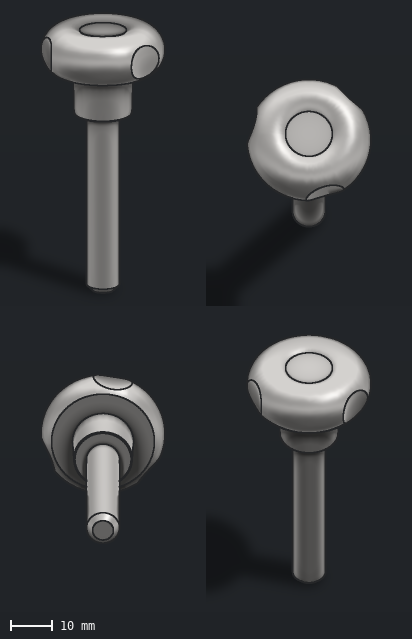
import cadquery as cq
import math

total_height = 67.0

head_radius = 15.0
head_height = 11.0
rim_radius = 6.0
dish_depth = 1.0

scallop_count = 3
scallop_radius = 15.0
scallop_depth = 1.55
first_scallop_angle = -90.0

collar_height = 11.1
collar_top_radius = 7.4
collar_bottom_radius = 7.05
collar_chamfer = 0.3

pin_diameter = 8.0
pin_tip_chamfer = 1.5

head_bottom = total_height - head_height
collar_bottom = head_bottom - collar_height
rim_center_radius = head_radius - rim_radius
rim_center_height = total_height - rim_radius
dish_floor = total_height - dish_depth


def rim_half_width(height):
    """Horizontal half width of the round rim section at a given height."""
    return math.sqrt(rim_radius**2 - (height - rim_center_height) ** 2)


def make_head():
    """Revolve the rim section, with a flat underside and a shallow dish on top."""
    dish_radius = rim_center_radius - rim_half_width(dish_floor)
    base_radius = rim_center_radius + rim_half_width(head_bottom)
    profile = (
        cq.Workplane("XZ")
        .moveTo(0, head_bottom)
        .lineTo(base_radius, head_bottom)
        .threePointArc((rim_center_radius, total_height), (dish_radius, dish_floor))
        .lineTo(0, dish_floor)
        .close()
    )
    return profile.revolve(360, (0, 0), (0, 1))


def make_scallops():
    """Upright cylinders that bite into the rim at equal angles."""
    axis_distance = head_radius - scallop_depth + scallop_radius
    return (
        cq.Workplane("XY", origin=(0, 0, head_bottom))
        .polarArray(axis_distance, first_scallop_angle, 360, scallop_count)
        .circle(scallop_radius)
        .extrude(head_height)
    )


def make_collar():
    """Tapered collar with a small chamfer around its lower edge."""
    collar = (
        cq.Workplane("XY", origin=(0, 0, collar_bottom))
        .circle(collar_bottom_radius)
        .workplane(offset=collar_height)
        .circle(collar_top_radius)
        .loft()
    )
    return collar.faces("<Z").chamfer(collar_chamfer)


def make_pin():
    """Straight pin with a chamfered tip, reaching up to the head."""
    pin = cq.Workplane("XY").circle(pin_diameter / 2).extrude(head_bottom)
    return pin.faces("<Z").chamfer(pin_tip_chamfer)


head = make_head().cut(make_scallops())
result = head.union(make_collar()).union(make_pin())